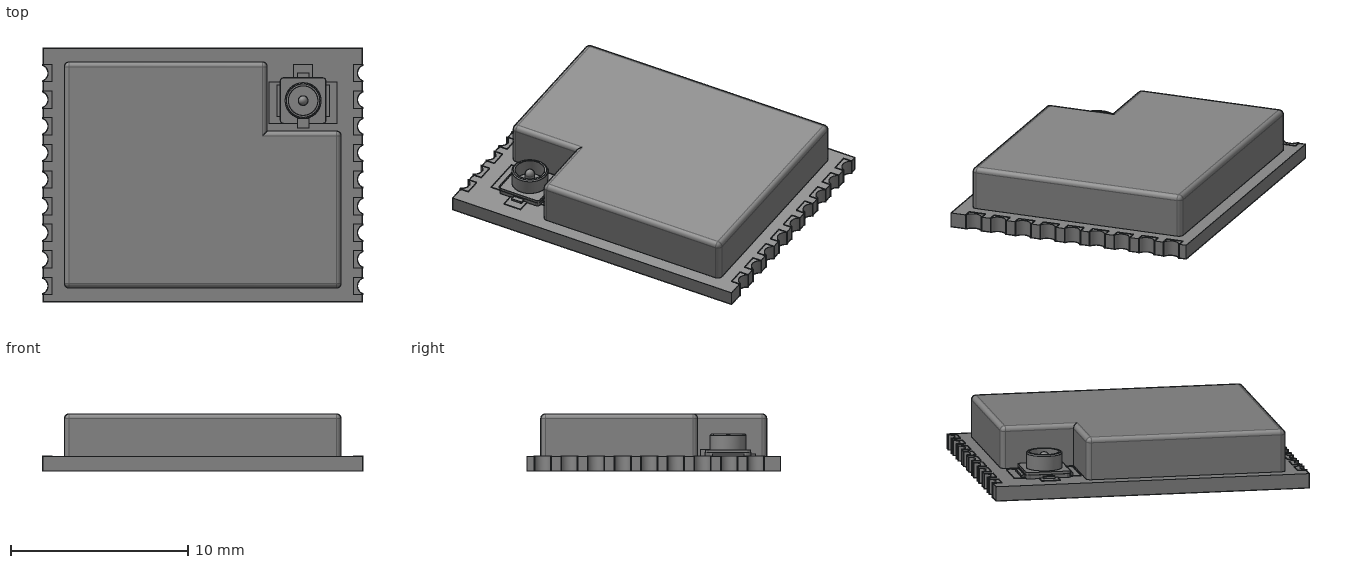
import cadquery as cq

overall_length = 18.07
board_width = 14.3
board_thickness = 0.83
copper = 0.04
board_length = overall_length - 2 * copper
overall_height = 3.23

pads_per_side = 9
pad_pitch = 1.5
pad_row_center_y = -0.25
pad_width = 0.98
pad_depth = 0.5
castellation_radius = 0.47
castellation_offset = 0.16

can_length = 15.6
can_width = 12.74
can_fillet = 0.27
can_height = overall_height - board_thickness
notch_left_x = 3.63
notch_bottom_y = 2.48

connector_x = 5.65
connector_y = 4.2
base_size = 2.55
base_height = 0.36
base_corner_radius = 0.15
flange_size = 2.58
flange_height = 0.22
flange_corner_radius = 0.22
ring_outer_radius = 1.01
ring_inner_radius = 0.83
ring_height = 1.26
ring_chamfer = 0.07
pin_radius = 0.27
pin_height = 1.25

ground_land_span = 3.83
ground_land_width = 2.35
ground_land_shift_y = -0.13
signal_land_width = 1.07
signal_land_reach = 2.05
ground_leg_span = 2.96
ground_leg_width = 1.79
leg_height = 0.15
contact_width = 0.65
contact_reach = 1.55
contact_tab_rise = 0.04


def block(length, width, height, x, y, z):
    """Box centred on (x, y) and standing on height z."""
    return cq.Workplane("XY").box(length, width, height, centered=(True, True, False)).translate((x, y, z))


def cylinder(radius, height, x, y, z):
    """Upright cylinder standing on height z."""
    return cq.Workplane("XY").circle(radius).extrude(height).translate((x, y, z))


def add_edge_pads(board):
    """Copper pads down both short sides, each cut by a castellation."""
    full_height = board_thickness + copper
    length = pad_depth + copper
    for side in (-1, 1):
        pad_x = side * (overall_length - length) / 2
        hole_x = side * (overall_length / 2 + castellation_offset)
        for index in range(pads_per_side):
            y = pad_row_center_y + (index - (pads_per_side - 1) / 2) * pad_pitch
            board = board.union(block(length, pad_width, full_height, pad_x, y, 0))
            board = board.cut(cylinder(castellation_radius, full_height, hole_x, y, 0))
    return board


def make_can():
    """L-shaped shield can, rounded on its top and its outside corners."""
    right = can_length / 2
    back = can_width / 2
    outline = [
        (-right, -back),
        (right, -back),
        (right, notch_bottom_y),
        (notch_left_x, notch_bottom_y),
        (notch_left_x, back),
        (-right, back),
    ]
    inside_corner = cq.selectors.BoxSelector(
        (notch_left_x - can_fillet, notch_bottom_y - can_fillet, 0),
        (notch_left_x + can_fillet, notch_bottom_y + can_fillet, overall_height),
    )
    can = cq.Workplane("XY").workplane(offset=board_thickness).polyline(outline).close().extrude(can_height)
    outside_edges = cq.selectors.SubtractSelector(cq.selectors.StringSyntaxSelector("|Z"), inside_corner)
    return can.edges(outside_edges).fillet(can_fillet).faces(">Z").edges().fillet(can_fillet)


def make_connector():
    """Coaxial receptacle on its solder lands, built around the origin."""
    ground_lands = block(ground_land_span, ground_land_width, copper, 0, ground_land_shift_y, 0)
    signal_land = block(signal_land_width, signal_land_reach, copper, 0, signal_land_reach / 2, 0)
    ground_legs = block(ground_leg_span, ground_leg_width, leg_height, 0, 0, 0)
    contact = block(contact_width, contact_reach, leg_height, 0, contact_reach / 2, 0)
    base = block(base_size, base_size, base_height, 0, 0, 0).edges("|Z").fillet(base_corner_radius)
    flange = block(flange_size, flange_size, flange_height, 0, 0, 0).edges("|Z").fillet(flange_corner_radius)

    tab_length = contact_reach - ring_outer_radius
    tab_y = -(contact_reach + ring_outer_radius) / 2
    tab = block(contact_width, tab_length, base_height + contact_tab_rise, 0, tab_y, 0)

    ring = cylinder(ring_outer_radius, ring_height, 0, 0, 0).faces(">Z").edges().chamfer(ring_chamfer)
    ring = ring.cut(cylinder(ring_inner_radius, ring_height - base_height, 0, 0, base_height))

    pin_tip_center = pin_height - pin_radius
    pin_tip = cq.Workplane("XY").sphere(pin_radius).translate((0, 0, pin_tip_center))
    pin = cylinder(pin_radius, pin_tip_center, 0, 0, 0).union(pin_tip)

    connector = base
    for piece in (flange, ground_lands, signal_land, ground_legs, contact, tab, ring, pin):
        connector = connector.union(piece)
    return connector


board = add_edge_pads(block(board_length, board_width, board_thickness, 0, 0, 0))
connector = make_connector().translate((connector_x, connector_y, board_thickness))
result = board.union(make_can()).union(connector)